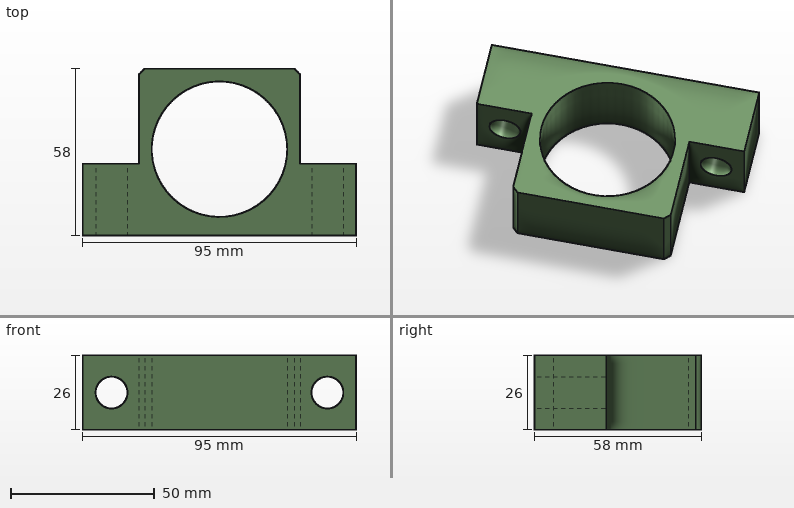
import cadquery as cq

height = 26.0
flange_length = 95.0
flange_depth = 25.0
housing_width = 56.0
overall_depth = 58.0
corner_chamfer = 2.0

bore_diameter = 47.0
bore_center_y = 30.0

mount_hole_diameter = 11.0
mount_hole_spacing = 75.0


def make_body():
    """Wide flange at Y = 0 with the narrower housing rising behind it."""
    flange = cq.Workplane("XY").box(flange_length, flange_depth, height, centered=(True, False, True))
    housing = cq.Workplane("XY").box(housing_width, overall_depth, height, centered=(True, False, True))
    housing = housing.faces(">Y").edges("|Z").chamfer(corner_chamfer)
    return flange.union(housing)


def make_bore():
    """Cylinder that fills the vertical bore."""
    return (
        cq.Workplane("XY", origin=(0, bore_center_y, -height / 2))
        .circle(bore_diameter / 2)
        .extrude(height)
    )


def make_mount_holes():
    """Pair of cylinders along +Y, one in each end of the flange."""
    half_spacing = mount_hole_spacing / 2
    return (
        cq.Workplane("XZ")
        .pushPoints([(-half_spacing, 0), (half_spacing, 0)])
        .circle(mount_hole_diameter / 2)
        .extrude(-flange_depth)
    )


result = make_body().cut(make_bore()).cut(make_mount_holes())